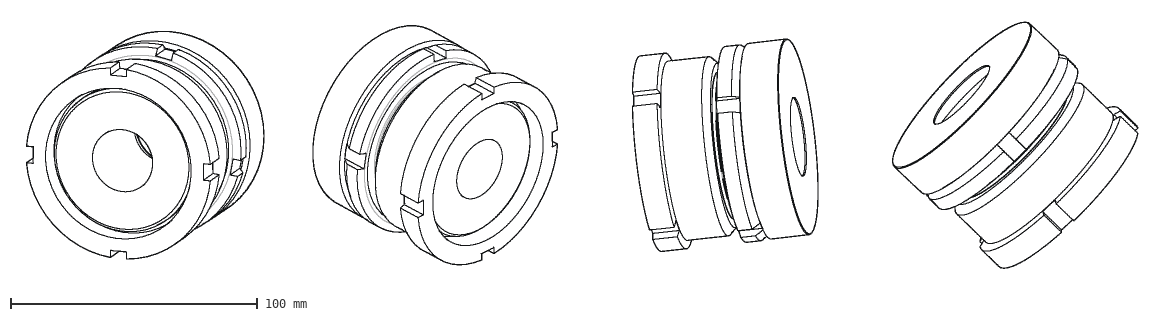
import cadquery as cq
import math

outer_radius = 40.0
rim_slope = 15.0
notch_width = 6.9
notch_depth = 3.1
notch_count = 4
thread_radius = 30.0

flange_height = 10.2
body_radius = 36.6
base_height = 31.0
body_chamfer = 3.05
recess_radius = 31.5
recess_depth = 9.65

spindle_start = 4.8
screw_chamfer = 1.2
bore_radius = 13.0
neck_radius = 28.6
neck_start = 32.25
neck_fillet = 0.5
head_start = 34.1
undercut_radius = 35.0
undercut_depth = 1.9
head_rim_start = 35.0
head_rim_end = 41.0
head_top = 53.1
head_notch_turn = 10.5

washer_start = 44.3
washer_end = 60.95
washer_rim_width = 2.65
washer_chamfer = 0.3
washer_bore_radius = 16.1
washer_tilt = -0.75

seat_center = 16.1
seat_radius = math.hypot(outer_radius, head_rim_end - seat_center)

rim_slope_ratio = math.tan(math.radians(rim_slope))
undercut_floor = head_start + undercut_depth
neck_cone = thread_radius - neck_radius
head_rim_width = (head_rim_start - head_start) / rim_slope_ratio


def seat_radius_at(y):
    """Distance from the axis to the spherical seat at height y."""
    return math.sqrt(seat_radius**2 - (y - seat_center) ** 2)


def turn(profile):
    """Revolve a closed (radius, y) profile about the Y axis."""
    return profile.close().revolve(360, (0, 0), (0, 1))


def cut_notches(body, start, end, turn_angle):
    """Cut spanner notches across the rim between two heights."""
    floor_radius = outer_radius - notch_depth
    cutter = cq.Workplane("XY").box(
        notch_width, end - start, 2 * notch_depth, centered=(True, False, False)
    ).translate((0, start, floor_radius))
    for i in range(notch_count):
        angle = turn_angle + i * 360 / notch_count
        body = body.cut(cutter.rotate((0, 0, 0), (0, 1, 0), angle))
    return body


def make_base():
    rim_end = flange_height + (outer_radius - body_radius) * rim_slope_ratio
    profile = cq.Workplane("XY").polyline([
        (recess_radius, 0),
        (outer_radius, 0),
        (outer_radius, flange_height),
        (body_radius, rim_end),
        (body_radius, base_height - body_chamfer),
        (body_radius - body_chamfer, base_height),
        (thread_radius, base_height),
        (thread_radius, recess_depth),
        (recess_radius, recess_depth),
    ])
    return cut_notches(turn(profile), 0, rim_end, 0)


def neck_edge(y):
    """Select the circular edge at height y that bounds the neck."""
    margin = 0.1
    reach = neck_radius + margin
    return cq.selectors.BoxSelector(
        (-reach, y - margin, -reach), (reach, y + margin, reach), boundingbox=True
    )


def make_spindle():
    dome_middle = (head_rim_end + head_top) / 2
    profile = (
        cq.Workplane("XY")
        .moveTo(bore_radius, spindle_start)
        .lineTo(thread_radius - screw_chamfer, spindle_start)
        .lineTo(thread_radius, spindle_start + screw_chamfer)
        .lineTo(thread_radius, neck_start - neck_cone)
        .lineTo(neck_radius, neck_start)
        .lineTo(neck_radius, undercut_floor)
        .lineTo(undercut_radius, undercut_floor)
        .lineTo(undercut_radius, head_start)
        .lineTo(outer_radius - head_rim_width, head_start)
        .lineTo(outer_radius, head_rim_start)
        .lineTo(outer_radius, head_rim_end)
        .threePointArc((seat_radius_at(dome_middle), dome_middle), (seat_radius_at(head_top), head_top))
        .lineTo(bore_radius, head_top)
    )
    body = turn(profile)
    for y in (neck_start, undercut_floor):
        body = body.edges(neck_edge(y)).fillet(neck_fillet)
    return cut_notches(body, head_start, head_top, head_notch_turn)


def make_washer():
    rim_start = washer_start + washer_rim_width * rim_slope_ratio
    profile = cq.Workplane("XY").polyline([
        (washer_bore_radius, washer_start),
        (outer_radius - washer_rim_width, washer_start),
        (outer_radius, rim_start),
        (outer_radius, washer_end - washer_chamfer),
        (outer_radius - washer_chamfer, washer_end),
        (washer_bore_radius, washer_end),
    ])
    seat = cq.Workplane("XY").sphere(seat_radius).translate((0, seat_center, 0))
    body = turn(profile).cut(seat)
    return body.rotate((0, seat_center, 0), (0, seat_center, 1), washer_tilt)


base = make_base()
spindle = make_spindle()
washer = make_washer()

result = cq.Compound.makeCompound([base.val(), spindle.val(), washer.val()])